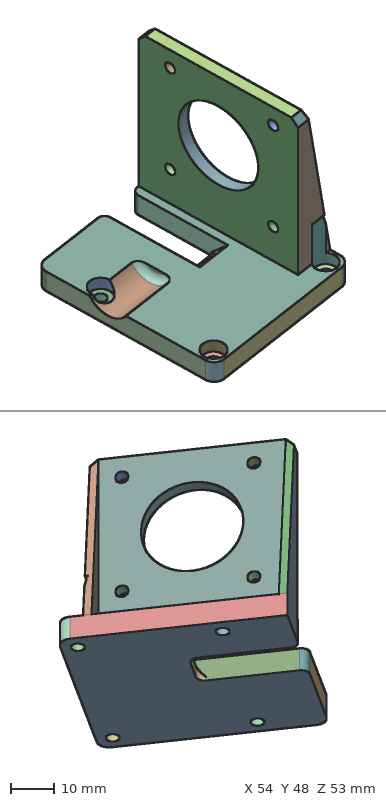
import cadquery as cq

base_length = 54.0
base_depth = 48.01
base_height = 6.0
base_corner_radius = 3.0

total_height = 53.0
plate_width = 48.0
plate_thickness = 3.5
gusset_thickness = 2.0
gusset_depth = 8.0
plate_corner_chamfer = 2.0
plate_back = base_depth - gusset_depth
plate_front = plate_back - plate_thickness

motor_x = plate_width / 2
motor_z = 32.0
motor_boss_diameter = 24.0
motor_hole_diameter = 3.0
motor_hole_pitch = 31.0
motor_hole_offset = 1.0

mount_hole_diameter = 3.2
counterbore_diameter = 6.4
counterbore_depth = 3.4
counterbore_clearance = 12.0
mount_x_positions = (16.0, 50.0)
mount_y_positions = (4.0, 44.0)

slot_front = 24.0
slot_width = 10.0
slot_end = 26.0
slot_end_radius = 2.0
slot_mouth_radius = 2.0
ramp_length = 3.0

trough_x = 21.5
trough_radius = 6.5
trough_depth = 3.0
trough_length = 17.0
trough_end_fillet = 2.0


def make_slot_cutter():
    slot_y = slot_front + slot_width / 2
    slot = (
        cq.Workplane("XY")
        .center(slot_end / 2, slot_y)
        .rect(slot_end, slot_width)
        .extrude(base_height)
        .edges("|Z and >X")
        .fillet(slot_end_radius)
    )
    ramp_top_x = slot_end + ramp_length
    ramp = (
        cq.Workplane("XZ", origin=(0, slot_front, 0))
        .moveTo(ramp_top_x - base_height, 0)
        .lineTo(ramp_top_x, base_height)
        .lineTo(ramp_top_x - base_height, base_height)
        .close()
        .extrude(-slot_width)
    )
    return slot.union(ramp)


def make_base():
    base = cq.Workplane("XY").box(base_length, base_depth, base_height, centered=False)
    base = base.edges("|Z and >X").fillet(base_corner_radius)
    base = base.edges("|Z and <X and <Y").fillet(base_corner_radius)
    base = base.cut(make_slot_cutter())
    slot_back = slot_front + slot_width
    for mouth_y in (slot_front, slot_back):
        mouth_edge = cq.selectors.NearestToPointSelector((0, mouth_y, base_height / 2))
        base = base.edges(mouth_edge).fillet(slot_mouth_radius)
    return base


def make_trough_cutter():
    axis_z = base_height - trough_depth + trough_radius
    return (
        cq.Workplane("XZ", origin=(trough_x, 0, axis_z))
        .circle(trough_radius)
        .extrude(-trough_length)
        .faces(">Y")
        .edges()
        .fillet(trough_end_fillet)
    )


def make_corner_cutter(corner_x, direction):
    """Triangular prism at a top corner; direction points in X towards the plate centre."""
    return (
        cq.Workplane("XZ")
        .moveTo(corner_x, total_height)
        .lineTo(corner_x + direction * plate_corner_chamfer, total_height)
        .lineTo(corner_x, total_height - plate_corner_chamfer)
        .close()
        .extrude(-base_depth)
    )


def make_motor_plate():
    plate = (
        cq.Workplane("YZ")
        .moveTo(plate_front, 0)
        .lineTo(base_depth, 0)
        .lineTo(base_depth, base_height)
        .lineTo(plate_back, total_height)
        .lineTo(plate_front, total_height)
        .close()
        .extrude(plate_width)
    )
    gap_width = plate_width - 2 * gusset_thickness
    gap = cq.Workplane("XY", origin=(gusset_thickness, plate_back, base_height)).box(
        gap_width, gusset_depth, total_height, centered=False
    )
    motor_centre = cq.Workplane("XZ", origin=(motor_x, 0, motor_z))
    boss_opening = motor_centre.circle(motor_boss_diameter / 2).extrude(-base_depth)
    screw_holes = (
        motor_centre.center(motor_hole_offset, 0)
        .rect(motor_hole_pitch, motor_hole_pitch, forConstruction=True)
        .vertices()
        .circle(motor_hole_diameter / 2)
        .extrude(-base_depth)
    )
    plate = plate.cut(gap)
    for corner_x, direction in ((0, 1), (plate_width, -1)):
        plate = plate.cut(make_corner_cutter(corner_x, direction))
    return plate.cut(boss_opening).cut(screw_holes)


def make_mounting_hole_cutter():
    centres = [(x, y) for x in mount_x_positions for y in mount_y_positions]
    holes = (
        cq.Workplane("XY")
        .pushPoints(centres)
        .circle(mount_hole_diameter / 2)
        .extrude(base_height)
    )
    counterbores = (
        cq.Workplane("XY", origin=(0, 0, base_height - counterbore_depth))
        .pushPoints(centres)
        .circle(counterbore_diameter / 2)
        .extrude(counterbore_depth + counterbore_clearance)
    )
    return holes.union(counterbores)


result = (
    make_base()
    .cut(make_trough_cutter())
    .union(make_motor_plate())
    .cut(make_mounting_hole_cutter())
)